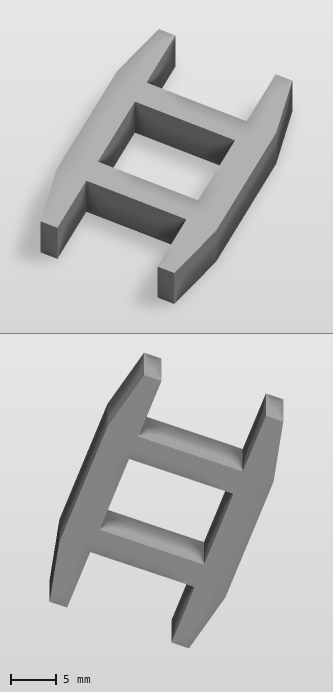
import cadquery as cq

width = 19.6
length = 29.82
thickness = 5.65

rail_gap = 12.32
tip_width = 2.05
arm_length = 7.3
crossbar_width = 2.95

straight_length = length - 2 * arm_length
window_length = straight_length - 2 * crossbar_width
tip_outer_x = rail_gap / 2 + tip_width


def make_body():
    """Solid plate with its long sides tapering towards both ends."""
    half_width = width / 2
    half_length = length / 2
    half_straight = straight_length / 2
    outline = [
        (tip_outer_x, -half_length),
        (half_width, -half_straight),
        (half_width, half_straight),
        (tip_outer_x, half_length),
        (-tip_outer_x, half_length),
        (-half_width, half_straight),
        (-half_width, -half_straight),
        (-tip_outer_x, -half_length),
    ]
    return cq.Workplane("XY").polyline(outline).close().extrude(thickness)


def cut_openings(body):
    """Cut the central window and the open slot at each end."""
    body = body.cut(cq.Workplane("XY").rect(rail_gap, window_length).extrude(thickness))
    slot_offset = (length - arm_length) / 2
    for end in (-1, 1):
        slot = cq.Workplane("XY").center(0, end * slot_offset).rect(rail_gap, arm_length).extrude(thickness)
        body = body.cut(slot)
    return body


result = cut_openings(make_body())